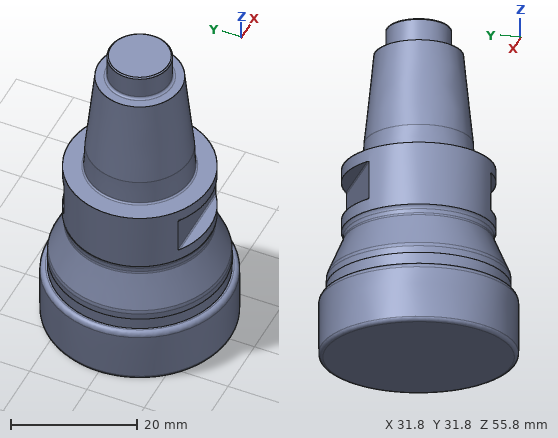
import cadquery as cq
import math

TOTAL_HEIGHT = 55.75
CAP_HEIGHT = 10.0
PARTING_HEIGHT = 12.05
CONE_BOTTOM = 13.5
CONE_TOP = 19.7
NECK_TOP = 20.55
COLLAR_BOTTOM = 21.25
COLLAR_TOP = 31.8
TAPER_BREAK = 36.25
TAPER_TOP = 51.3

CAP_RADIUS = 15.9
CAP_END_RADIUS = 15.85
STEM_RADIUS = 29.3 / 2
NECK_RADIUS = 23.9 / 2
COLLAR_RADIUS = 24.55 / 2
TAPER_FOOT_RADIUS = 8.9
TAPER_BREAK_RADIUS = 8.7
TAPER_TOP_RADIUS = 7.15
PIN_RADIUS = 10.4 / 2

CAP_TOP_FILLET = 0.9
CAP_BOTTOM_FILLET = 0.65
SHOULDER_FILLET = 1.55
NECK_FILLET = 0.9
TAPER_FOOT_FILLET = 0.3
PIN_FOOT_FILLET = 0.45
PIN_CHAMFER = 0.2

FLAT_DISTANCE = 10.0
FLAT_HEIGHT = 6.4
FLAT_FLOOR_FILLET = 0.15
FLAT_MIDDLE = (COLLAR_BOTTOM + COLLAR_TOP) / 2


def edges_at(body, radius, height):
    """Select the circular edge with the given radius and height."""
    margin = 0.005
    low = (-radius - margin, -radius - margin, height - margin)
    high = (radius + margin, radius + margin, height + margin)
    inner = radius - margin
    return body.edges(cq.selectors.BoxSelector(low, high, boundingbox=True)).filter(
        lambda edge: edge.geomType() == "CIRCLE" and edge.radius() > inner
    )


def make_cap():
    """Rounded cap with a slightly bulging side, and a short stem that carries the holder."""
    profile = (
        cq.Workplane("XZ")
        .lineTo(CAP_END_RADIUS, 0)
        .threePointArc((CAP_RADIUS, CAP_HEIGHT / 2), (CAP_END_RADIUS, CAP_HEIGHT))
        .lineTo(STEM_RADIUS, CAP_HEIGHT)
        .lineTo(STEM_RADIUS, PARTING_HEIGHT)
        .lineTo(0, PARTING_HEIGHT)
        .close()
    )
    cap = profile.revolve(360, (0, 0, 0), (0, 1, 0))
    cap = edges_at(cap, CAP_END_RADIUS, CAP_HEIGHT).fillet(CAP_TOP_FILLET)
    return edges_at(cap, CAP_END_RADIUS, 0).fillet(CAP_BOTTOM_FILLET)


def make_holder_blank():
    """Turned holder: shoulder cone, neck, collar, tapered shank and end pin."""
    step = COLLAR_RADIUS - NECK_RADIUS
    rise = COLLAR_BOTTOM - NECK_TOP
    arc_radius = (step**2 + rise**2) / (2 * step)
    half_angle = math.asin(rise / arc_radius) / 2
    arc_middle = (
        NECK_RADIUS + arc_radius * (1 - math.cos(half_angle)),
        NECK_TOP + arc_radius * math.sin(half_angle),
    )
    profile = (
        cq.Workplane("XZ")
        .moveTo(0, PARTING_HEIGHT)
        .lineTo(STEM_RADIUS, PARTING_HEIGHT)
        .lineTo(STEM_RADIUS, CONE_BOTTOM)
        .lineTo(NECK_RADIUS, CONE_TOP)
        .lineTo(NECK_RADIUS, NECK_TOP)
        .threePointArc(arc_middle, (COLLAR_RADIUS, COLLAR_BOTTOM))
        .lineTo(COLLAR_RADIUS, COLLAR_TOP)
        .lineTo(TAPER_FOOT_RADIUS, COLLAR_TOP)
        .lineTo(TAPER_BREAK_RADIUS, TAPER_BREAK)
        .lineTo(TAPER_TOP_RADIUS, TAPER_TOP)
        .lineTo(PIN_RADIUS, TAPER_TOP)
        .lineTo(PIN_RADIUS, TOTAL_HEIGHT)
        .lineTo(0, TOTAL_HEIGHT)
        .close()
    )
    blank = profile.revolve(360, (0, 0, 0), (0, 1, 0))
    blank = edges_at(blank, STEM_RADIUS, CONE_BOTTOM).fillet(SHOULDER_FILLET)
    blank = edges_at(blank, NECK_RADIUS, CONE_TOP).fillet(NECK_FILLET)
    blank = edges_at(blank, TAPER_FOOT_RADIUS, COLLAR_TOP).fillet(TAPER_FOOT_FILLET)
    blank = edges_at(blank, PIN_RADIUS, TAPER_TOP).fillet(PIN_FOOT_FILLET)
    return edges_at(blank, PIN_RADIUS, TOTAL_HEIGHT).chamfer(PIN_CHAMFER)


def cut_wrench_flats(body):
    """Cut two opposite flats, with rounded floor edges, into the collar."""
    for side in (-1, 1):
        slot = cq.Workplane("XY").box(2 * COLLAR_RADIUS, COLLAR_RADIUS, FLAT_HEIGHT)
        slot = slot.faces("<Y" if side > 0 else ">Y").edges("|X").fillet(FLAT_FLOOR_FILLET)
        slot_middle = side * (FLAT_DISTANCE + COLLAR_RADIUS / 2)
        body = body.cut(slot.translate((0, slot_middle, FLAT_MIDDLE)))
    return body


cap = make_cap()
holder = cut_wrench_flats(make_holder_blank())

result = cq.Compound.makeCompound([cap.val(), holder.val()])